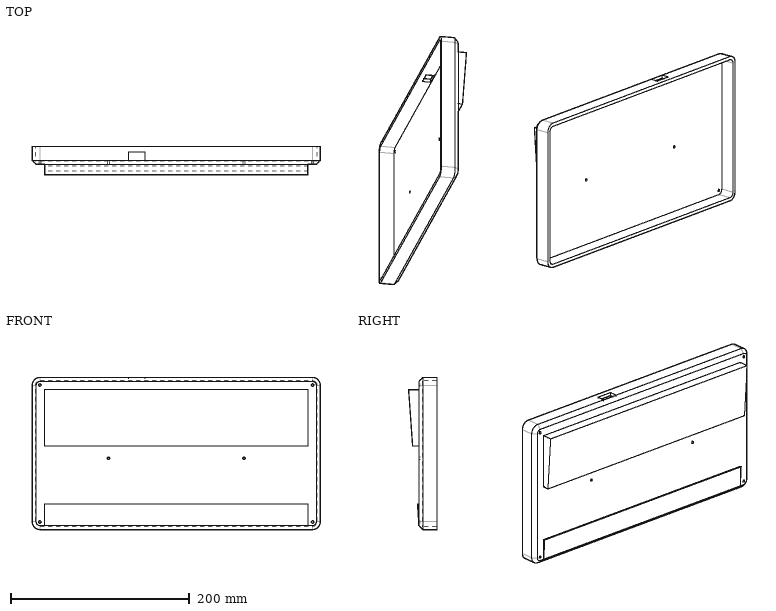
import cadquery as cq

width = 322.8
height = 170.8
total_depth = 32.0
upper_foot_rise = 11.5
case_depth = total_depth - upper_foot_rise
corner_radius = 9.0
front_chamfer = 4.5
wall = 4.0
floor = 4.0

foot_width = 294.7
upper_foot_top_gap = 14.0
upper_foot_height = 63.3
upper_foot_low_rise = 7.0
lower_foot_height = 24.2
lower_foot_rise = 1.5
lower_foot_low_rise = 0.1

hole_diameter = 2.5
corner_hole_inset = 8.7
middle_hole_spacing = 151.7
middle_hole_drop = 90.7
slot_width = 18.7
slot_left_gap = 107.8
slot_back_gap = 6.5
slot_depth = case_depth - front_chamfer - slot_back_gap

left = -width / 2
top = height / 2
bottom = -height / 2


def make_case():
    outer = (
        cq.Workplane("XY")
        .box(width, case_depth, height, centered=(True, False, True))
        .edges("|Y")
        .fillet(corner_radius)
        .faces("<Y")
        .chamfer(front_chamfer)
    )
    cavity = (
        cq.Workplane("XY")
        .box(width - 2 * wall, case_depth - floor, height - 2 * wall, centered=(True, False, True))
        .edges("|Y")
        .fillet(corner_radius - wall)
        .translate((0, floor, 0))
    )
    return outer.cut(cavity)


def make_foot(top_z, foot_height, high_rise, low_rise):
    """Wedge across the front face, rooted in the floor and thickest at its top."""
    root = floor / 2
    bottom_z = top_z - foot_height
    profile = [(root, top_z), (-high_rise, top_z), (-low_rise, bottom_z), (root, bottom_z)]
    return cq.Workplane("YZ").polyline(profile).close().extrude(foot_width / 2, both=True)


def make_screw_holes():
    corner_x = width / 2 - corner_hole_inset
    corner_z = height / 2 - corner_hole_inset
    middle_x = middle_hole_spacing / 2
    middle_z = top - middle_hole_drop
    centers = []
    for side in (-1, 1):
        centers.append((side * corner_x, corner_z))
        centers.append((side * corner_x, -corner_z))
        centers.append((side * middle_x, middle_z))
    return (
        cq.Workplane("XZ")
        .pushPoints(centers)
        .circle(hole_diameter / 2)
        .extrude(case_depth, both=True)
    )


def make_cable_slot():
    """Opening through the top wall only."""
    return (
        cq.Workplane("XY")
        .box(slot_width, slot_depth, 2 * wall, centered=(False, False, True))
        .translate((left + slot_left_gap, front_chamfer, top))
    )


upper_foot = make_foot(
    top - upper_foot_top_gap, upper_foot_height, upper_foot_rise, upper_foot_low_rise
)
lower_foot = make_foot(
    bottom + front_chamfer + lower_foot_height, lower_foot_height, lower_foot_rise, lower_foot_low_rise
)

result = (
    make_case()
    .union(upper_foot)
    .union(lower_foot)
    .cut(make_screw_holes())
    .cut(make_cable_slot())
)